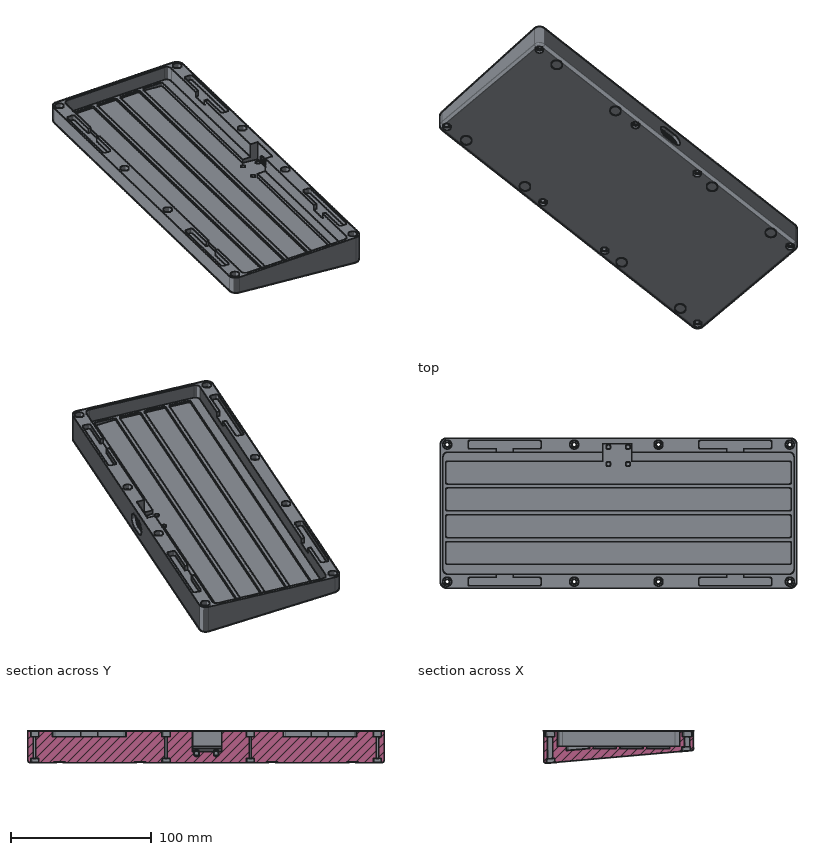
import cadquery as cq
import math

length = 254.0
width = 107.0
height = 23.0
slope_angle = 5.0
corner_radius = 5.0
bottom_fillet = 2.0

pocket_length = 250.0
pocket_width = 86.9
pocket_depth = 11.0
pocket_corner_radius = 3.5
recess_length = 245.9
recess_width = 16.3
recess_depth = 1.5
recess_corner_radius = 1.3
recess_pitch = 19.0
recess_count = 4
recess_row_center_y = 0.3

bay_center_x = -0.8
bay_width = 20.5
bay_rear_y = 49.3
bay_screw_center_x = -0.3
bay_screw_spacing_x = 14.0
bay_screw_spacing_y = 12.2
bay_screw_front_y = 35.0
bay_screw_diameter = 3.3
bay_screw_depth = 2.5
drill_point_angle = 118.0

port_width = 13.2
port_height = 5.8
port_floor_clearance = 0.3
port_wall_thickness = 1.3
plug_margin = 2.8

rail_center_y = 48.8
end_screw_x = 122.0
middle_screw_x = 30.0
middle_screw_offset_x = -1.5
screw_hole_diameter = 3.3
counterbore_diameter = 6.4
counterbore_depth = 4.0
head_recess_diameter = 5.8
head_recess_depth = 3.0
head_recess_y = 48.3

slot_length = 52.0
slot_width = 6.0
slot_depth = 4.0
slot_corner_radius = 1.5
slot_center_x = 82.0
slot_offset_x = 1.0
slot_opening_width = 12.2

foot_diameter = 8.0
foot_depth = 0.5
foot_distances_x = (47.0, 104.1)
foot_y = 47.2

both_sides = (-1, 1)
angle = math.radians(slope_angle)
slope = math.tan(angle)

rear_height = height + bottom_fillet * (slope - 1 + 1 / math.cos(angle))
front_height = rear_height - slope * width

recess_floor_z = -pocket_depth - recess_depth
recess_row = [
    recess_row_center_y + (index - (recess_count - 1) / 2) * recess_pitch for index in range(recess_count)
]
rear_recess_y = recess_row[-1]
rear_recess_front_y = rear_recess_y - recess_width / 2
rear_recess_rear_y = rear_recess_y + recess_width / 2

screw_x_positions = (
    -end_screw_x,
    middle_screw_offset_x - middle_screw_x,
    middle_screw_offset_x + middle_screw_x,
    end_screw_x,
)
foot_x_positions = [side * distance for side in both_sides for distance in foot_distances_x]


def underside_z(y):
    """Height of the sloping underside at a given y."""
    return -front_height - slope * (y + width / 2)


def bay_floor_z(y):
    """Height of the sloping floor shared by the rearmost recess and the bay."""
    return recess_floor_z - slope * (y - rear_recess_front_y)


def make_body():
    """Wedge with rounded corners and a rounded bottom edge."""
    half_width = width / 2
    profile = [(-half_width, 0), (half_width, 0), (half_width, -rear_height), (-half_width, -front_height)]
    wedge = cq.Workplane("YZ", origin=(-length / 2, 0, 0)).polyline(profile).close().extrude(length)
    wedge = wedge.edges("|Z").fillet(corner_radius)
    return wedge.faces("<Z").edges().fillet(bottom_fillet)


def level_pocket(size_x, size_y, depth, radius, center):
    """Cutter with rounded vertical edges, reaching down from the given top centre."""
    block = cq.Workplane("XY").box(size_x, size_y, depth, centered=(True, True, False))
    return block.edges("|Z").fillet(radius).translate(center).translate((0, 0, -depth))


def sloping_pocket(center_x, size_x, front_y, rear_y):
    """Cutter from the top face down to the sloping bay floor."""
    profile = [(front_y, 0), (rear_y, 0), (rear_y, bay_floor_z(rear_y)), (front_y, bay_floor_z(front_y))]
    plane = cq.Workplane("YZ", origin=(center_x - size_x / 2, 0, 0))
    return plane.polyline(profile).close().extrude(size_x)


def underside_recesses(x_positions, y, diameter, depth):
    """Cutter for a row of round recesses sunk square into the underside."""
    plane = cq.Plane(
        origin=(0, y, underside_z(y)), xDir=(1, 0, 0), normal=(0, math.sin(angle), math.cos(angle))
    )
    points = [(x, 0) for x in x_positions]
    return cq.Workplane(plane).pushPoints(points).circle(diameter / 2).extrude(depth)


def make_drill():
    """Cutter for a blind hole with a conical end, square to the sloping bay floor."""
    radius = bay_screw_diameter / 2
    tip_depth = bay_screw_depth + radius / math.tan(math.radians(drill_point_angle / 2))
    profile = [(0, 0), (radius, 0), (radius, -bay_screw_depth), (0, -tip_depth)]
    drill = cq.Workplane("XZ").polyline(profile).close().revolve(360, (0, 0), (0, 1))
    return drill.rotate((0, 0, 0), (1, 0, 0), -slope_angle)


def port_cutter(margin, depth):
    """Round-ended opening cut inwards from the rear face, wider than the port by a margin all round."""
    center_z = bay_floor_z(bay_rear_y) + port_floor_clearance + port_height / 2
    plane = cq.Workplane("XZ", origin=(bay_center_x, width / 2, center_z))
    return plane.slot2D(port_width + 2 * margin, port_height + 2 * margin).extrude(depth)


result = make_body()

result = result.cut(
    level_pocket(pocket_length, pocket_width, pocket_depth, pocket_corner_radius, (0, 0, 0))
)
for recess_y in recess_row:
    recess = level_pocket(
        recess_length, recess_width, recess_depth, recess_corner_radius, (0, recess_y, -pocket_depth)
    )
    result = result.cut(recess)

deep_recess = sloping_pocket(0, recess_length, rear_recess_front_y, rear_recess_rear_y)
deep_recess = deep_recess.edges("|Z").fillet(recess_corner_radius)
bay = sloping_pocket(bay_center_x, bay_width, rear_recess_y, bay_rear_y)
result = result.cut(deep_recess).cut(bay)

bay_drill = make_drill()
for side in both_sides:
    for hole_y in (bay_screw_front_y, bay_screw_front_y + bay_screw_spacing_y):
        hole_x = bay_screw_center_x + side * bay_screw_spacing_x / 2
        result = result.cut(bay_drill.translate((hole_x, hole_y, bay_floor_z(hole_y))))

rear_wall_thickness = width / 2 - bay_rear_y
result = result.cut(port_cutter(0, rear_wall_thickness))
result = result.cut(port_cutter(plug_margin, rear_wall_thickness - port_wall_thickness))

screw_points = [(x, side * rail_center_y) for side in both_sides for x in screw_x_positions]
screw_plane = cq.Workplane("XY").pushPoints(screw_points)
result = result.cut(screw_plane.circle(screw_hole_diameter / 2).extrude(-rear_height))
result = result.cut(screw_plane.circle(counterbore_diameter / 2).extrude(-counterbore_depth))
for side in both_sides:
    head_recesses = underside_recesses(
        screw_x_positions, side * head_recess_y, head_recess_diameter, head_recess_depth
    )
    result = result.cut(head_recesses)

opening_length = rail_center_y - pocket_width / 2
for side in both_sides:
    for end in both_sides:
        slot_x = slot_offset_x + end * slot_center_x
        slot_y = side * rail_center_y
        slot = level_pocket(slot_length, slot_width, slot_depth, slot_corner_radius, (slot_x, slot_y, 0))
        opening = cq.Workplane("XY").box(slot_opening_width, opening_length, slot_depth)
        opening = opening.translate((slot_x, slot_y - side * opening_length / 2, -slot_depth / 2))
        result = result.cut(slot).cut(opening)

for side in both_sides:
    result = result.cut(underside_recesses(foot_x_positions, side * foot_y, foot_diameter, foot_depth))